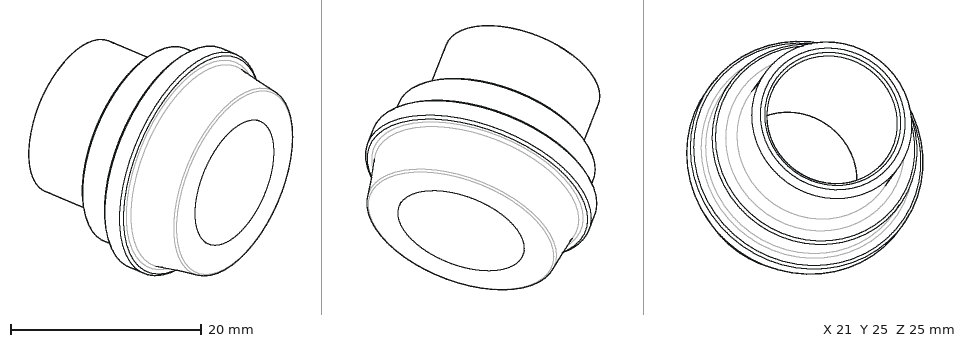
import cadquery as cq
import math

length = 21.0
tube_length = 9.0
flange_start = 13.0
flange_width = 2.5
flange_end = flange_start + flange_width

bore_radius = 14.0 / 2
tube_radius = 17.2 / 2
collar_radius = 22.0 / 2
flange_radius = 25.0 / 2
taper_start_radius = 11.32
taper_end_radius = 10.5

weld_bevel_depth = 0.82
weld_bevel_angle = math.radians(30)
bore_chamfer = 0.3
edge_chamfer = 0.3
tube_fillet = 1.0
collar_fillet = 0.4
taper_fillet = 0.32
nose_round = 0.2

weld_bevel_length = weld_bevel_depth * math.tan(weld_bevel_angle)
taper_start = flange_end + taper_fillet
taper_end = length - nose_round
taper_angle = math.atan2(taper_start_radius - taper_end_radius, taper_end - taper_start)


def arc_corner(profile, start, end, center, radius):
    """Add a round from start to end, through the point halfway along it."""
    mid_x = (start[0] + end[0]) / 2 - center[0]
    mid_r = (start[1] + end[1]) / 2 - center[1]
    reach = radius / math.hypot(mid_x, mid_r)
    middle = (center[0] + mid_x * reach, center[1] + mid_r * reach)
    return profile.lineTo(*start).threePointArc(middle, end)


def concave_fillet(profile, face_x, cylinder_radius, fillet_radius):
    """Blend a cylinder into the shoulder face that rises at face_x."""
    start = (face_x - fillet_radius, cylinder_radius)
    end = (face_x, cylinder_radius + fillet_radius)
    center = (face_x - fillet_radius, cylinder_radius + fillet_radius)
    return arc_corner(profile, start, end, center, fillet_radius)


profile = cq.Workplane("XY").moveTo(bore_chamfer, bore_radius)
profile = profile.lineTo(0, bore_radius + bore_chamfer)

profile = profile.lineTo(0, tube_radius - weld_bevel_depth).lineTo(weld_bevel_length, tube_radius)
profile = concave_fillet(profile, tube_length, tube_radius, tube_fillet)

profile = profile.lineTo(tube_length, collar_radius - edge_chamfer)
profile = profile.lineTo(tube_length + edge_chamfer, collar_radius)
profile = concave_fillet(profile, flange_start, collar_radius, collar_fillet)

profile = profile.lineTo(flange_start, flange_radius - edge_chamfer)
profile = profile.lineTo(flange_start + edge_chamfer, flange_radius)
profile = profile.lineTo(flange_end - edge_chamfer, flange_radius)
profile = profile.lineTo(flange_end, flange_radius - edge_chamfer)

root_radius = taper_fillet / (1 - math.sin(taper_angle))
root_center = (flange_end + root_radius, taper_start_radius + root_radius * math.cos(taper_angle))
profile = arc_corner(
    profile,
    (flange_end, root_center[1]),
    (taper_start, taper_start_radius),
    root_center,
    root_radius,
)

round_radius = nose_round / (1 - math.sin(taper_angle))
round_center = (length - round_radius, taper_end_radius - round_radius * math.cos(taper_angle))
profile = arc_corner(
    profile,
    (taper_end, taper_end_radius),
    (length, round_center[1]),
    round_center,
    round_radius,
)

profile = profile.lineTo(length, bore_radius).close()

result = profile.revolve(360, (0, 0, 0), (1, 0, 0))